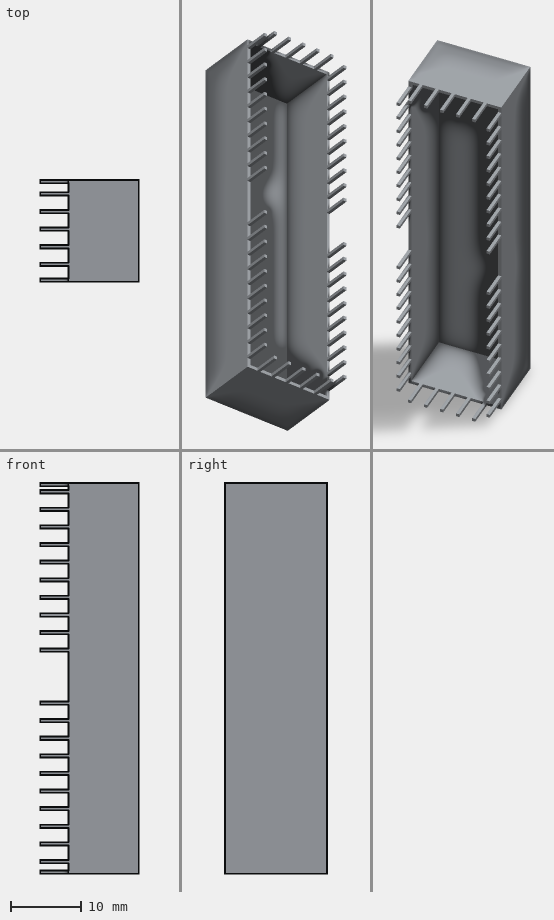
import cadquery as cq

box_depth = 10.0
box_width = 14.5
box_height = 55.5
wall = 0.5

pin_side = wall
pin_length = 4.0
pin_pitch = 2.5

long_row_group = 10
long_row_missing = 2
long_row_places = 2 * long_row_group + long_row_missing
long_row_margin = 1.75
long_row_first_z = -box_height / 2 + long_row_margin

short_row_pins = 5
short_row_margin = 2.5
short_row_first_y = -box_width / 2 + short_row_margin

side_wall_y = (box_width - wall) / 2
end_wall_z = (box_height - wall) / 2


def make_box():
    outer = cq.Workplane("XY").box(box_depth, box_width, box_height, centered=(False, True, True))
    cavity = cq.Workplane("XY").box(
        box_depth - wall,
        box_width - 2 * wall,
        box_height - 2 * wall,
        centered=(False, True, True),
    )
    return outer.cut(cavity)


def long_row_positions():
    """(Y, Z) centres of the pins on the two long walls."""
    positions = []
    for place in range(long_row_places):
        in_gap = long_row_group <= place < long_row_group + long_row_missing
        if in_gap:
            continue
        z = long_row_first_z + place * pin_pitch
        positions += [(-side_wall_y, z), (side_wall_y, z)]
    return positions


def short_row_positions():
    """(Y, Z) centres of the pins on the two short walls."""
    positions = []
    for place in range(short_row_pins):
        y = short_row_first_y + place * pin_pitch
        positions += [(y, -end_wall_z), (y, end_wall_z)]
    return positions


def make_pins():
    return (
        cq.Workplane("YZ")
        .pushPoints(long_row_positions() + short_row_positions())
        .rect(pin_side, pin_side)
        .extrude(-pin_length)
    )


result = make_box().union(make_pins()).clean()